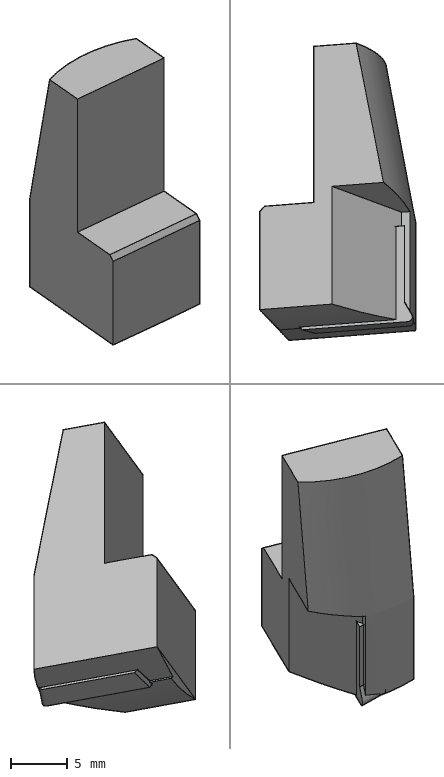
import cadquery as cq
import math


length = 12.85
width = 10.0
height = 24.8
nose_x = 0.35
nose_radius = 15.62
shoulder_z = 10.32
tower_back_x = 7.85
tower_top_x = 2.95
foot_chamfer = 0.47
bottom_z = 0.27
bottom_rise = 0.47
relief_z = 0.42

flute_y = -0.05
floor_end_x = 1.12
flute_angle = 45.0
roof_angle = 15.0

insert_length = 10.47
insert_height = 8.93
insert_top_y = 0.35
insert_thickness = 2.4
side_clearance = 13.0
bottom_clearance = 7.5
tip_radius = 0.45
flank_x = 0.75
neck_lean = 30.0
end_chamfer = 0.27

half_width = width / 2


def make_profile_block():
    """L-shaped side profile, chamfered on the back of the foot."""
    outline = [
        (0, bottom_z),
        (length - foot_chamfer, bottom_z),
        (length, bottom_z + foot_chamfer),
        (length, shoulder_z - foot_chamfer),
        (length - foot_chamfer, shoulder_z),
        (tower_back_x, shoulder_z),
        (tower_back_x, height),
        (0, height),
    ]
    return cq.Workplane("XZ").polyline(outline).close().extrude(half_width, both=True)


def make_nose_envelope():
    """Vertical cylinder topped by a cone, both on one axis behind the nose."""
    axis_x = nose_x + nose_radius
    outline = [
        (0, 0),
        (nose_radius, 0),
        (nose_radius, shoulder_z),
        (axis_x - tower_top_x, height),
        (0, height),
    ]
    envelope = cq.Workplane("XZ").polyline(outline).close().revolve(360, (0, 0, 0), (0, 1, 0))
    return envelope.translate((axis_x, 0, 0))


def make_underside_envelope():
    """Bar along X whose underside is a shallow arc across the width."""
    side_z = bottom_z + bottom_rise
    return (
        cq.Workplane("YZ")
        .moveTo(-half_width, side_z)
        .threePointArc((0, bottom_z), (half_width, side_z))
        .lineTo(half_width, height)
        .lineTo(-half_width, height)
        .close()
        .extrude(length)
    )


def make_flute():
    """Chip space over the flat floor, ahead of the slanted wall and under the sloping roof."""
    wall_slope = math.tan(math.radians(flute_angle))
    roof_slope = math.tan(math.radians(roof_angle))
    wall_end_x = floor_end_x + (half_width - flute_y) / wall_slope
    plan = [(0, flute_y), (floor_end_x, flute_y), (wall_end_x, half_width), (0, half_width)]
    wedge = cq.Workplane("XY").polyline(plan).close().extrude(height)
    roof_end_z = shoulder_z + (half_width - flute_y) * roof_slope
    section = [(flute_y, 0), (half_width, 0), (half_width, roof_end_z), (flute_y, shoulder_z)]
    under_roof = cq.Workplane("YZ").polyline(section).close().extrude(length)
    return wedge.intersect(under_roof)


def insert_outline(y, side_inset, bottom_inset):
    """Insert profile at the given Y, drawn in from its two ends and its underside."""
    center_x = tip_radius + side_inset
    center_z = tip_radius + bottom_inset
    lean = math.radians(neck_lean)
    end_x = insert_length - side_inset
    neck_x = center_x - tip_radius * math.cos(lean)
    neck_z = center_z + tip_radius * math.sin(lean)
    side_x = flank_x + side_inset
    side_z = neck_z + (side_x - neck_x) / math.tan(lean)
    diagonal = tip_radius * math.sqrt(0.5)
    return (
        cq.Workplane("XZ", origin=(0, y, 0))
        .moveTo(center_x, bottom_inset)
        .lineTo(end_x - end_chamfer, bottom_inset)
        .lineTo(end_x, bottom_inset + end_chamfer)
        .lineTo(end_x, insert_height)
        .lineTo(side_x, insert_height)
        .lineTo(side_x, side_z)
        .lineTo(neck_x, neck_z)
        .threePointArc((center_x - diagonal, center_z - diagonal), (center_x, bottom_inset))
        .close()
        .val()
    )


def make_insert():
    """Cutting plate with a round tip, tapering away from its rake face."""
    side_inset = insert_thickness * math.tan(math.radians(side_clearance))
    bottom_inset = insert_thickness * math.tan(math.radians(bottom_clearance))
    rake_outline = insert_outline(insert_top_y, 0, 0)
    rear_outline = insert_outline(insert_top_y - insert_thickness, side_inset, bottom_inset)
    return cq.Workplane(cq.Solid.makeLoft([rake_outline, rear_outline], True))


def make_underside_relief():
    """Shallow sloping relief that bares the lower rear edge of the insert."""
    section = [(flute_y, 0), (flute_y, relief_z), (-half_width, bottom_z + bottom_rise), (-half_width, 0)]
    return cq.Workplane("YZ").polyline(section).close().extrude(length)


def make_holder(insert):
    """Holder with the flute, the underside relief and a pocket matching the insert."""
    block = make_profile_block().intersect(make_nose_envelope()).intersect(make_underside_envelope())
    return block.cut(make_flute()).cut(make_underside_relief()).cut(insert)


insert = make_insert()
holder = make_holder(insert)

result = cq.Compound.makeCompound([holder.val(), insert.val()])